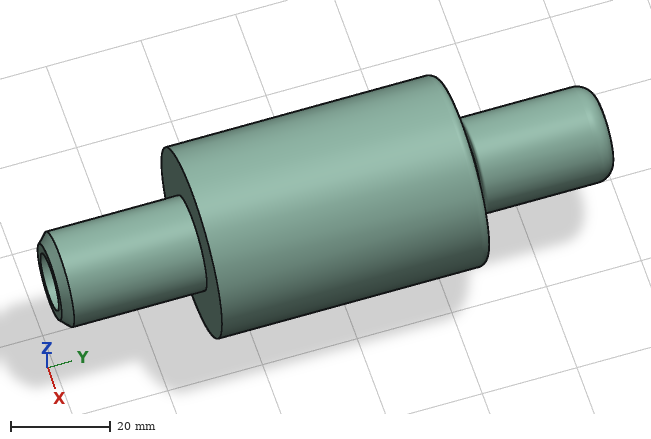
import cadquery as cq

body_diameter = 40.0
body_length = 57.0
body_edge_radius = 2.0

pin_diameter = 20.0
front_pin_length = 30.0
front_pin_chamfer = 2.0

neck_diameter = 13.0
neck_length = 2.0
rear_pin_length = 28.0
rear_pin_end_radius = 4.0
rear_pin_shoulder_radius = 0.5

bore_diameter = 12.0

front_end = -front_pin_length
neck_start = body_length
rear_pin_start = neck_start + neck_length
rear_end = rear_pin_start + rear_pin_length


def cylinder(diameter, start, end):
    """Solid cylinder on the Y axis running from Y = start to Y = end."""
    return cq.Workplane("XZ", origin=(0, start, 0)).circle(diameter / 2).extrude(start - end)


def make_front_pin():
    pin = cylinder(pin_diameter, front_end, 0)
    return pin.faces("<Y").edges().chamfer(front_pin_chamfer)


def make_body():
    body = cylinder(body_diameter, 0, body_length)
    return body.faces(">Y").edges().fillet(body_edge_radius)


def make_neck():
    return cylinder(neck_diameter, neck_start, rear_pin_start)


def make_rear_pin():
    pin = cylinder(pin_diameter, rear_pin_start, rear_end)
    pin = pin.faces(">Y").edges().fillet(rear_pin_end_radius)
    return pin.faces("<Y").edges().fillet(rear_pin_shoulder_radius)


def make_bore():
    return cylinder(bore_diameter, front_end, rear_end)


outside = make_body().union(make_front_pin()).union(make_neck()).union(make_rear_pin())
result = outside.cut(make_bore())